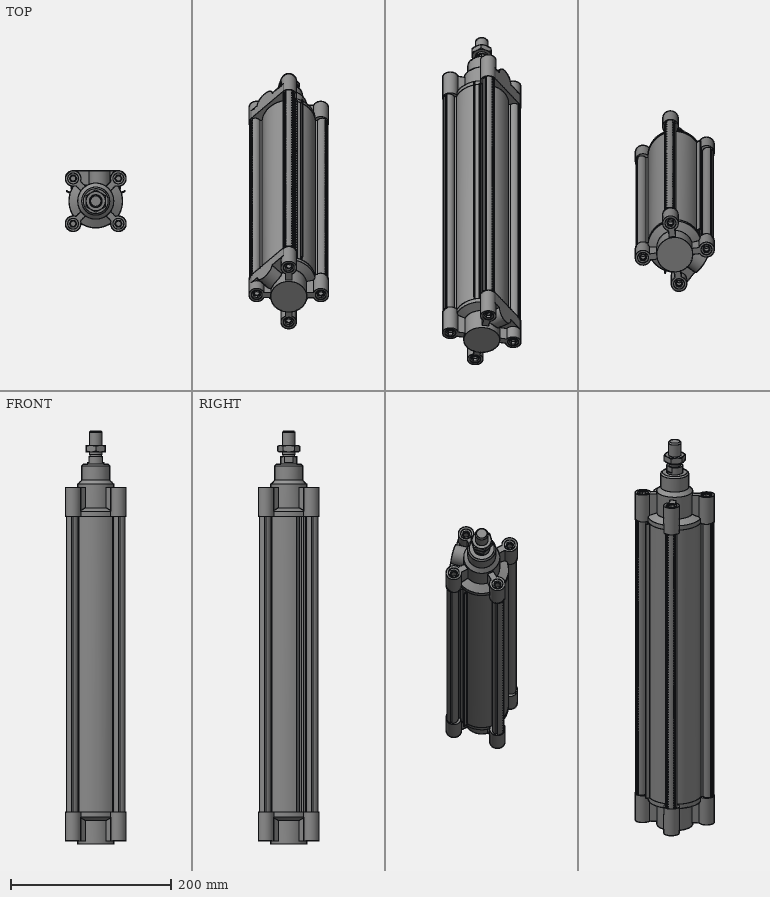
import cadquery as cq
import math


total_height = 515.3
rear_collar_height = 4.0
body_length = 441.0
cap_height = 36.0
rear_face_z = rear_collar_height
front_face_z = rear_face_z + body_length
barrel_length = body_length - 2 * cap_height

overall_width = 76.0
post_diameter = 19.5
post_offset = (overall_width - post_diameter) / 2
corners = [(sx * post_offset, sy * post_offset) for sx in (-1, 1) for sy in (-1, 1)]

collar_diameter = 45.0
disc_diameter = 67.0
disc_height = 6.0
cone_angle = 22.5
cone_height = (disc_diameter - collar_diameter) / 2 * math.tan(math.radians(cone_angle))
rib_width = 8.0
recess_diameter = 13.5
recess_depth = 1.0
socket_across_flats = 8.0
socket_depth = 5.0
screw_hole_diameter = 6.75
screw_hole_depth = 16.0

port_diameter = 26.0
port_offset_x = 4.75
port_face_y = overall_width / 2
port_plate_y = 20.0

nose_diameter = 35.0
nose_height = 29.0
nose_base_height = 4.0
nose_shoulder_height = (collar_diameter - nose_diameter) / 2
nose_chamfer = 2.0

barrel_diameter = disc_diameter
bore_diameter = 63.0
column_diameter = 14.4
column_offset = 29.5
web_width = 8.0
slit_width = 2.0
slit_depth = 1.5
rail_reach = 36.5
rail_root_x = 32.0
rail_root_y = 9.5
rail_tip_y = 11.8
rail_width = 1.5
ledge_reach = 30.8
ledge_y = 15.8
ledge_width = 2.8

rod_diameter = 20.0
thread_diameter = 16.0
thread_tip_diameter = 13.0
thread_chamfer_length = 2.0
thread_length = 32.0
neck_diameter = 14.5
neck_length = 3.0
flat_width = 17.0
flat_length = 7.0
shoulder_z = total_height - thread_length

nut_across_flats = 24.0
nut_height = 8.0
nut_gap = 6.0
nut_z = shoulder_z + nut_gap
nut_chamfer_angle = 30.0


def cylinder(diameter, z_start, height):
    return cq.Workplane("XY").workplane(offset=z_start).circle(diameter / 2).extrude(height)


def cone(diameter, top_diameter, z_start, height):
    return cq.Workplane(cq.Solid.makeCone(
        diameter / 2, top_diameter / 2, height, pnt=cq.Vector(0, 0, z_start)))


def hexagon_corners(across_flats):
    """Width of a hexagon across its corners."""
    return across_flats / math.cos(math.radians(30))


def blind_holes(diameter, depth):
    """Holes sunk into the four post ends of a cap."""
    return (cq.Workplane("XY").workplane(offset=cap_height - depth)
            .pushPoints(corners).circle(diameter / 2).extrude(depth))


def make_cap():
    """A plain cap from its barrel face at z = 0 to its post ends at z = cap_height."""
    cap = cylinder(disc_diameter, 0, disc_height)
    cap = cap.union(cone(disc_diameter, collar_diameter, disc_height, cone_height))
    cap = cap.union(cylinder(collar_diameter, 0, cap_height))

    post_distance = math.hypot(post_offset, post_offset)
    for angle in (45, 135):
        rib = cq.Workplane("XY").rect(2 * post_distance, rib_width).extrude(cap_height)
        cap = cap.union(rib.rotate((0, 0, 0), (0, 0, 1), angle))

    boss = (cq.Workplane("XZ").center(port_offset_x, cap_height / 2)
            .circle(port_diameter / 2).extrude(-port_face_y))
    plate = (cq.Workplane("XY").rect(2 * post_offset, port_face_y - port_plate_y)
             .extrude(cap_height / 2).translate((0, (port_face_y + port_plate_y) / 2, 0)))
    cap = cap.union(boss).union(plate)

    posts = cq.Workplane("XY").pushPoints(corners).circle(post_diameter / 2).extrude(cap_height)
    cap = cap.union(posts)
    cap = cap.cut(blind_holes(recess_diameter, recess_depth))
    cap = cap.cut(blind_holes(screw_hole_diameter, screw_hole_depth))

    sockets = (cq.Workplane("XY").workplane(offset=cap_height - socket_depth)
               .pushPoints(corners).polygon(6, hexagon_corners(socket_across_flats))
               .extrude(socket_depth))
    return cap.cut(sockets)


def make_rear_cap():
    cap = make_cap().mirror("XY").translate((0, 0, rear_face_z + cap_height))
    return cap.union(cylinder(collar_diameter, 0, rear_face_z + cap_height))


def make_front_cap():
    cap = make_cap().translate((0, 0, front_face_z - cap_height))
    shoulder_start = front_face_z + nose_base_height
    nose = cylinder(nose_diameter, front_face_z, nose_height).faces(">Z").chamfer(nose_chamfer)
    cap = cap.union(cylinder(collar_diameter, front_face_z, nose_base_height))
    cap = cap.union(cone(collar_diameter, nose_diameter, shoulder_start, nose_shoulder_height))
    cap = cap.union(nose)
    return cap.cut(cylinder(rod_diameter, front_face_z - cap_height, cap_height + nose_height))


def bar(x_start, x_end, y_start, y_end):
    """A straight rectangular bar along the whole barrel."""
    return (cq.Workplane("XY").center((x_start + x_end) / 2, (y_start + y_end) / 2)
            .rect(x_end - x_start, y_end - y_start).extrude(barrel_length))


def make_sensor_rail():
    """Sloping rail and low ledge on the +X side, with the sensor slot between them."""
    rail = (cq.Workplane("XY")
            .moveTo(rail_root_x, rail_root_y)
            .lineTo(rail_reach, rail_tip_y)
            .lineTo(rail_reach, rail_tip_y + rail_width)
            .lineTo(rail_root_x, rail_root_y + rail_width)
            .close().extrude(barrel_length))
    ledge = bar(0, ledge_reach, ledge_y, ledge_y + ledge_width)
    return rail.union(ledge)


def make_columns():
    """Round corner columns on diagonal webs, each slit on its two outer sides."""
    column_points = [(sx * column_offset, sy * column_offset) for sx in (-1, 1) for sy in (-1, 1)]
    columns = (cq.Workplane("XY").pushPoints(column_points)
               .circle(column_diameter / 2).extrude(barrel_length))
    half_web = math.hypot(column_offset, column_offset)
    for angle in (45, 135):
        web = bar(-half_web, half_web, -web_width / 2, web_width / 2)
        columns = columns.union(web.rotate((0, 0, 0), (0, 0, 1), angle))

    column_reach = column_offset + column_diameter / 2
    slit_points = [(sx * column_offset, sy * column_reach) for sx in (-1, 1) for sy in (-1, 1)]
    slits = (cq.Workplane("XY").pushPoints(slit_points)
             .rect(slit_width, 2 * slit_depth).extrude(barrel_length))
    return columns.cut(slits).cut(slits.rotate((0, 0, 0), (0, 0, 1), 90))


def make_barrel():
    """Round tube with corner columns and a sensor rail on each X side."""
    rail = make_sensor_rail()
    barrel = cq.Workplane("XY").circle(barrel_diameter / 2).extrude(barrel_length)
    barrel = barrel.union(make_columns()).union(rail).union(rail.mirror("YZ"))
    barrel = barrel.cut(cylinder(bore_diameter, 0, barrel_length))
    return barrel.translate((0, 0, rear_face_z + cap_height))


def make_rod():
    rod_start = front_face_z - cap_height
    rod = cylinder(rod_diameter, rod_start, shoulder_z - rod_start)
    flat_cutter = (cq.Workplane("XY").workplane(offset=shoulder_z - flat_length)
                   .rect(2 * rod_diameter, 3 * rod_diameter)
                   .rect(flat_width, 2 * rod_diameter).extrude(flat_length))
    thread = cylinder(thread_diameter, shoulder_z + neck_length, thread_length - neck_length)
    thread = thread.faces(">Z").chamfer(
        thread_chamfer_length, (thread_diameter - thread_tip_diameter) / 2)
    neck = cylinder(neck_diameter, shoulder_z, neck_length)
    return rod.cut(flat_cutter).union(neck).union(thread)


def make_nut():
    across_corners = hexagon_corners(nut_across_flats)
    corner_depth = (across_corners - nut_across_flats) / 2
    corner_drop = corner_depth * math.tan(math.radians(nut_chamfer_angle))
    blank = cylinder(across_corners, nut_z, nut_height)
    blank = blank.faces("<Z or >Z").chamfer(corner_drop, corner_depth)
    hexagon = (cq.Workplane("XY").workplane(offset=nut_z)
               .polygon(6, across_corners).extrude(nut_height)
               .rotate((0, 0, 0), (0, 0, 1), 30))
    return hexagon.intersect(blank).cut(cylinder(thread_diameter, nut_z, nut_height))


rear_cap = make_rear_cap()
barrel = make_barrel()
front_cap = make_front_cap()
rod = make_rod()
nut = make_nut()

result = cq.Compound.makeCompound([
    rear_cap.val(),
    barrel.val(),
    front_cap.val(),
    rod.val(),
    nut.val(),
])